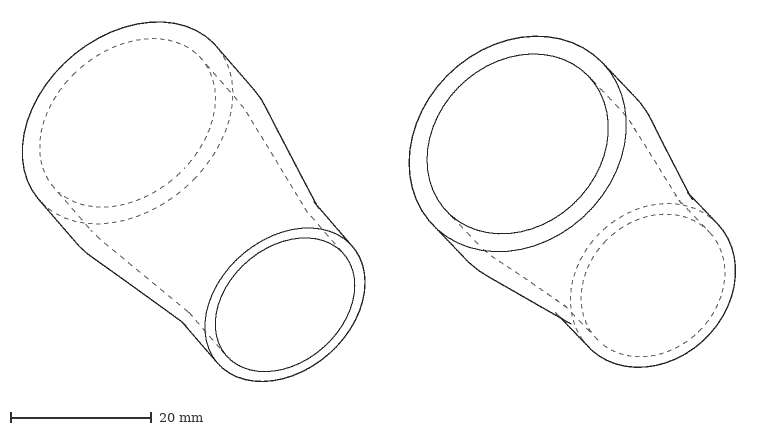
import cadquery as cq

total_length = 50.8
large_outer_diameter = 33.4
large_inner_diameter = 27.86
small_outer_diameter = 25.4
small_inner_diameter = 22.1
outer_blend_radius = 6.35
inner_blend_radius = 8.85

cone_length = total_length / 2
cone_start = (total_length - cone_length) / 2
cone_end = cone_start + cone_length


def reducer_body(large_diameter, small_diameter, blend_radius):
    """Solid of revolution: large cylinder, cone, small cylinder, with blended bends."""
    large_radius = large_diameter / 2
    small_radius = small_diameter / 2
    body = (
        cq.Workplane("XY")
        .moveTo(0, 0)
        .lineTo(0, large_radius)
        .lineTo(cone_start, large_radius)
        .lineTo(cone_end, small_radius)
        .lineTo(total_length, small_radius)
        .lineTo(total_length, 0)
        .close()
        .revolve(axisStart=(0, 0, 0), axisEnd=(1, 0, 0))
    )
    bends = body.edges("%CIRCLE").edges("not(<X or >X)")
    return bends.fillet(blend_radius).val()


outer_body = reducer_body(large_outer_diameter, small_outer_diameter, outer_blend_radius)
bore = reducer_body(large_inner_diameter, small_inner_diameter, inner_blend_radius)

result = cq.Workplane("XY").newObject([outer_body]).cut(cq.Workplane("XY").newObject([bore]))